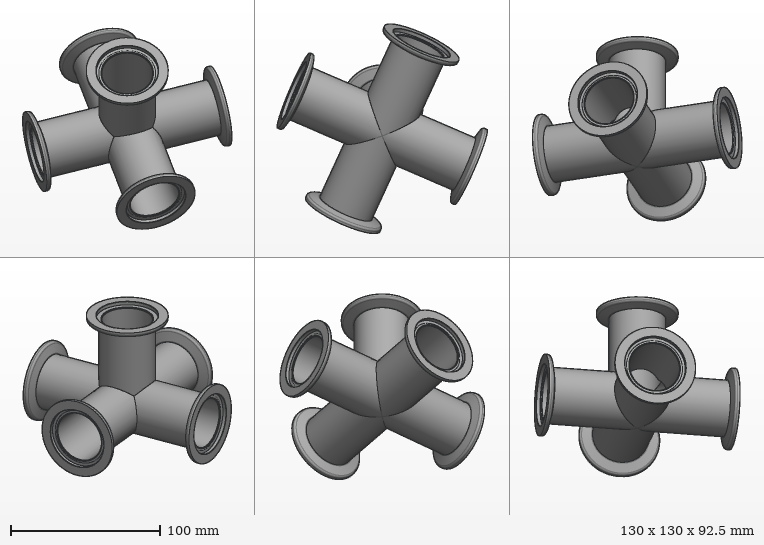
import cadquery as cq
import math

span = 130.0
reach = span / 2

tube_od = 38.2
tube_id = 34.0

flange_od = 55.0
flange_thickness = 5.1
rim_width = 1.7
rim_round = 1.7
cone_angle = 15.0
recess_id = 41.6
recess_depth = 2.6
recess_edge_break = 0.3
flange_bore = 35.1
lip_thickness = 0.8

port_axes = [(1, 0, 0), (-1, 0, 0), (0, 1, 0), (0, -1, 0), (0, 0, 1)]

socket_floor = recess_depth + lip_thickness
tube_length = reach - socket_floor


def arm(axis, diameter, length):
    """Solid cylinder running from the centre of the cross along an axis."""
    plane = cq.Plane(origin=(0, 0, 0), normal=axis)
    return cq.Workplane(plane).circle(diameter / 2).extrude(length)


def joined_arms(diameter, length):
    """Five cylinders merged at the centre of the cross."""
    body = arm(port_axes[0], diameter, length)
    for axis in port_axes[1:]:
        body = body.union(arm(axis, diameter, length))
    return body


def make_cross():
    """Hollow five-way tube whose ends seat in the flange sockets."""
    return joined_arms(tube_od, tube_length).cut(joined_arms(tube_id, tube_length)).solids()


def make_flange(axis):
    """Clamp flange with a rounded rim, conical back, ring recess, bore and tube socket."""
    slope = math.radians(cone_angle)
    rim_r = flange_od / 2
    turn = math.pi / 2 - slope
    round_r = rim_r - rim_round

    def on_round(angle):
        return (round_r + rim_round * math.cos(angle), rim_width + rim_round * math.sin(angle))

    cone_start = on_round(turn)
    cone_end_r = cone_start[0] - (flange_thickness - cone_start[1]) / math.tan(slope)

    profile = (
        cq.Workplane("XY")
        .moveTo(recess_id / 2 + recess_edge_break, 0)
        .lineTo(rim_r, 0)
        .lineTo(rim_r, rim_width)
        .threePointArc(on_round(turn / 2), cone_start)
        .lineTo(cone_end_r, flange_thickness)
        .lineTo(tube_od / 2, flange_thickness)
        .lineTo(tube_od / 2, socket_floor)
        .lineTo(flange_bore / 2, socket_floor)
        .lineTo(flange_bore / 2, recess_depth)
        .lineTo(recess_id / 2, recess_depth)
        .lineTo(recess_id / 2, recess_edge_break)
        .close()
    )
    ring = profile.revolve(360, (0, 0, 0), (0, 1, 0)).val()

    face_centre = tuple(reach * a for a in axis)
    inward = tuple(-a for a in axis)
    facing_z = ring.rotate(cq.Vector(0, 0, 0), cq.Vector(1, 0, 0), 90)
    return facing_z.moved(cq.Location(cq.Plane(origin=face_centre, normal=inward)))


cross = make_cross()
flanges = [make_flange(axis) for axis in port_axes]

result = cq.Compound.makeCompound([cross.val(), *flanges])